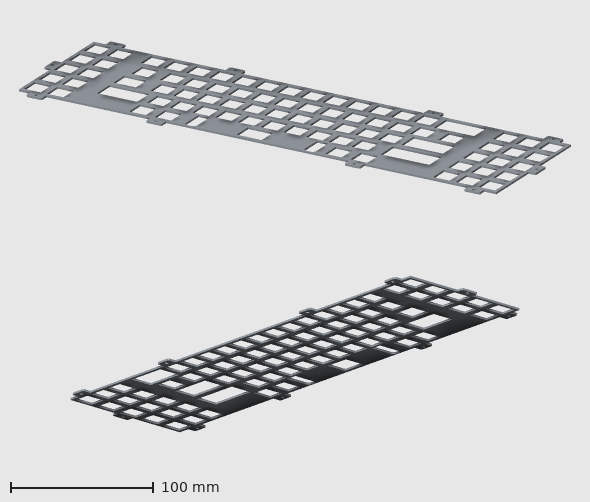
import cadquery as cq

KEY_UNIT = 19.05
COLUMNS = 21
ROWS = 5
THICKNESS = 1.5
TILT = 4.8

PLATE_X = COLUMNS * KEY_UNIT
PLATE_Y = ROWS * KEY_UNIT

TAB_REACH = 6.0
TAB_WIDTH = 13.0
TAB_RADIUS = 1.0
TAB_ROOT = 1.2
TAB_HOLE = 2.58
TAB_HOLE_OFFSET = TAB_REACH / 2
OUTER_TAB_X = 183.5
INNER_TAB_X = 83.1

SWITCH = 14.0
LEFT_PAD_FIRST = 0.5
LEFT_PAD_COLUMNS = 2
RIGHT_PAD_FIRST = 18.5
RIGHT_PAD_COLUMNS = 3

SPACE_ROW = ROWS - 1

STAB_WIDTH = 33.7
STAB_EXTENSION = 2.0
STAB_RELIEF = 0.3
CAPS_WIDTH = SWITCH + 0.25 * KEY_UNIT
ENTER_WIDTH = 34.9
RIGHT_SHIFT_WIDTH = STAB_WIDTH + 0.375 * KEY_UNIT
SPACE_WIDTH = SWITCH + 0.375 * KEY_UNIT
SPACE_EXTENSION = 0.95

WIDE_OPENINGS = [
    (16.49, 0, STAB_WIDTH, STAB_RELIEF, STAB_EXTENSION),
    (3.25, 2, CAPS_WIDTH, 0, 0),
    (16.34, 2, ENTER_WIDTH, STAB_EXTENSION, 0),
    (3.64, 3, STAB_WIDTH, STAB_RELIEF, STAB_EXTENSION),
    (16.3125, 3, RIGHT_SHIFT_WIDTH, STAB_RELIEF, STAB_EXTENSION),
    (10.04, SPACE_ROW, SPACE_WIDTH, SPACE_EXTENSION, 0),
]

SLOT_PAIR_CENTRE = -7.8
SLOT_SPACING = 99.8
SLOT_WIDTH = 9.4
SLOT_REAR = 10.0
SLOT_FRONT = 8.5
SLOT_RADIUS = 2.9


def key_run(first, count):
    """Centres of adjacent one-unit keys, in key units."""
    return [first + i for i in range(count)]


MAIN_ROWS = [
    key_run(3.0, 13),
    [3.25] + key_run(4.5, 12) + [16.75],
    key_run(4.75, 11),
    key_run(5.25, 10),
    [5.125, 6.25, 13.75, 14.875],
]


def key_x(unit):
    return unit * KEY_UNIT - PLATE_X / 2


def row_y(row):
    return PLATE_Y / 2 - (row + 0.5) * KEY_UNIT


def block(x_min, x_max, y_min, y_max):
    """Rectangular block as thick as the plate."""
    x_mid = (x_min + x_max) / 2
    y_mid = (y_min + y_max) / 2
    return cq.Workplane("XY").center(x_mid, y_mid).rect(x_max - x_min, y_max - y_min).extrude(THICKNESS)


def tab(x, y, angle):
    """Drilled tab at edge point (x, y), reaching out along +Y turned by angle."""
    body = block(-TAB_WIDTH / 2, TAB_WIDTH / 2, -TAB_ROOT, TAB_REACH)
    body = body.edges("|Z and >Y").fillet(TAB_RADIUS)
    hole = cq.Workplane("XY").center(0, TAB_HOLE_OFFSET).circle(TAB_HOLE / 2).extrude(THICKNESS)
    return body.cut(hole).rotate((0, 0, 0), (0, 0, 1), angle).translate((x, y, 0))


def plate_with_tabs():
    plate = block(-PLATE_X / 2, PLATE_X / 2, -PLATE_Y / 2, PLATE_Y / 2)
    for x in (-OUTER_TAB_X, -INNER_TAB_X, INNER_TAB_X, OUTER_TAB_X):
        plate = plate.union(tab(x, PLATE_Y / 2, 0))
        plate = plate.union(tab(x, -PLATE_Y / 2, 180))
    plate = plate.union(tab(-PLATE_X / 2, 0, 90))
    return plate.union(tab(PLATE_X / 2, 0, -90))


def switch_openings():
    pads = key_run(LEFT_PAD_FIRST, LEFT_PAD_COLUMNS) + key_run(RIGHT_PAD_FIRST, RIGHT_PAD_COLUMNS)
    centres = []
    for row, main_keys in enumerate(MAIN_ROWS):
        centres += [(key_x(unit), row_y(row)) for unit in pads + main_keys]
    return cq.Workplane("XY").pushPoints(centres).rect(SWITCH, SWITCH).extrude(THICKNESS)


def wide_opening(unit, row, width, rear, front):
    x = key_x(unit)
    y = row_y(row)
    return block(x - width / 2, x + width / 2, y - SWITCH / 2 - front, y + SWITCH / 2 + rear)


def space_slot(side):
    """Stabiliser slot with rounded front corners; side is -1 for the left one, 1 for the right one."""
    x = SLOT_PAIR_CENTRE + side * SLOT_SPACING / 2
    y = row_y(SPACE_ROW)
    slot = block(x - SLOT_WIDTH / 2, x + SLOT_WIDTH / 2, y - SLOT_FRONT, y + SLOT_REAR)
    return slot.edges("|Z and <Y").fillet(SLOT_RADIUS)


plate = plate_with_tabs().cut(switch_openings())
for opening in WIDE_OPENINGS:
    plate = plate.cut(wide_opening(*opening))
for side in (-1, 1):
    plate = plate.cut(space_slot(side))

result = plate.rotate((0, 0, 0), (1, 0, 0), TILT)